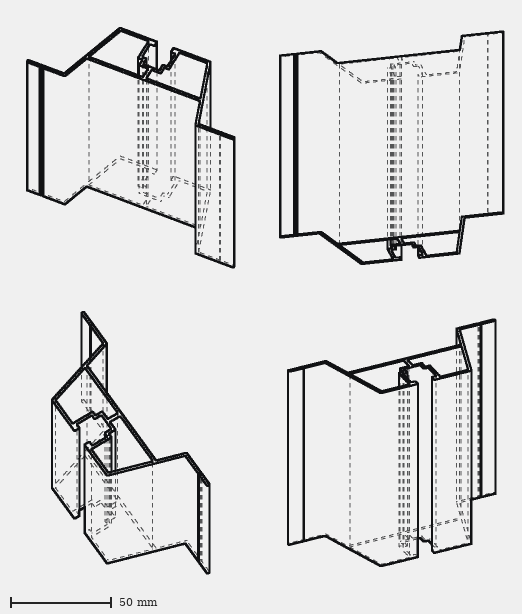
import cadquery as cq
import math

length = 100.0
width = 114.0
height = 40.0
wall = 1.5

crown_width = 50.0
foot_opening = 72.0
web_bottom = 15.0
stem_width = 2.0

slot_width = 9.0
channel_width = 14.0
lip_depth = 3.0
shoulder_depth = 12.0
channel_depth = 16.0

corner_radius = 0.3
mark_offset = 48.9
back_mark_width = 0.4
back_mark_depth = 0.4
front_mark_width = 1.0
front_mark_depth = 0.3

half_width = width / 2
half_crown = crown_width / 2
half_foot = foot_opening / 2
half_slot = slot_width / 2
half_channel = channel_width / 2
half_stem = stem_width / 2
web_top = web_bottom + wall
crown_underside = height - wall
shoulder = height - shoulder_depth
channel_floor = height - channel_depth


def wall_slope():
    """Return the sideways run per unit of height that gives walls of the set thickness."""
    slope = (half_foot - half_crown) / height
    for _ in range(20):
        slope = (half_foot - half_crown + wall * math.hypot(1, slope)) / height
    return slope


slope = wall_slope()


def inner_x(y):
    """Half width between the inner faces of the sloping walls at height y."""
    return half_foot - slope * y


def outer_x(y):
    """Half width over the outer faces of the sloping walls at height y."""
    return half_crown + slope * (height - y)


def extrude_outline(points):
    """Extrude a closed XY outline over the full length."""
    return cq.Workplane("XY").polyline(points).close().extrude(length)


def mirrored(points):
    """Complete a right-hand half outline with its mirror image in X = 0."""
    return points + [(-x, y) for x, y in reversed(points)]


def make_hat():
    """Filled crown on sloping walls, with a flange at each foot."""
    outline = mirrored([
        (inner_x(web_bottom), web_bottom),
        (half_foot, 0),
        (half_width, 0),
        (half_width, wall),
        (outer_x(wall), wall),
        (half_crown, height),
    ])
    return extrude_outline(outline)


def make_bolt_channel():
    """Stepped opening in the crown, with lips above and a narrow pocket below."""
    return extrude_outline(mirrored([
        (half_slot, channel_floor),
        (half_slot, shoulder),
        (half_channel, shoulder),
        (half_channel, height - lip_depth),
        (half_slot, height - lip_depth),
        (half_slot, height),
    ]))


def make_side_chamber(side):
    """Hollow between a sloping wall, the cross web, the stem and the bolt channel."""
    outline = [
        (half_stem, web_top),
        (inner_x(web_top), web_top),
        (inner_x(crown_underside), crown_underside),
        (half_channel + wall, crown_underside),
        (half_channel + wall, shoulder - wall),
        (half_slot + wall, shoulder - wall),
        (half_slot + wall, channel_floor - wall),
        (half_stem, channel_floor - wall),
    ]
    return extrude_outline([(side * x, y) for x, y in outline])


def make_v_groove(center_x, face_y, mark_width, tip_y):
    """Lengthwise V groove cut from a flange face at height face_y to its tip at tip_y."""
    return extrude_outline([
        (center_x - mark_width / 2, face_y),
        (center_x + mark_width / 2, face_y),
        (center_x, tip_y),
    ])


result = make_hat().cut(make_bolt_channel())
for side in (-1, 1):
    result = result.cut(make_side_chamber(side))
result = result.edges("|Z").fillet(corner_radius)

for side in (-1, 1):
    result = result.cut(make_v_groove(side * mark_offset, wall, back_mark_width, wall - back_mark_depth))

for side in (-1, 1):
    groove_x = -mark_offset + side * front_mark_width / 2
    result = result.cut(make_v_groove(groove_x, 0, front_mark_width, front_mark_depth))